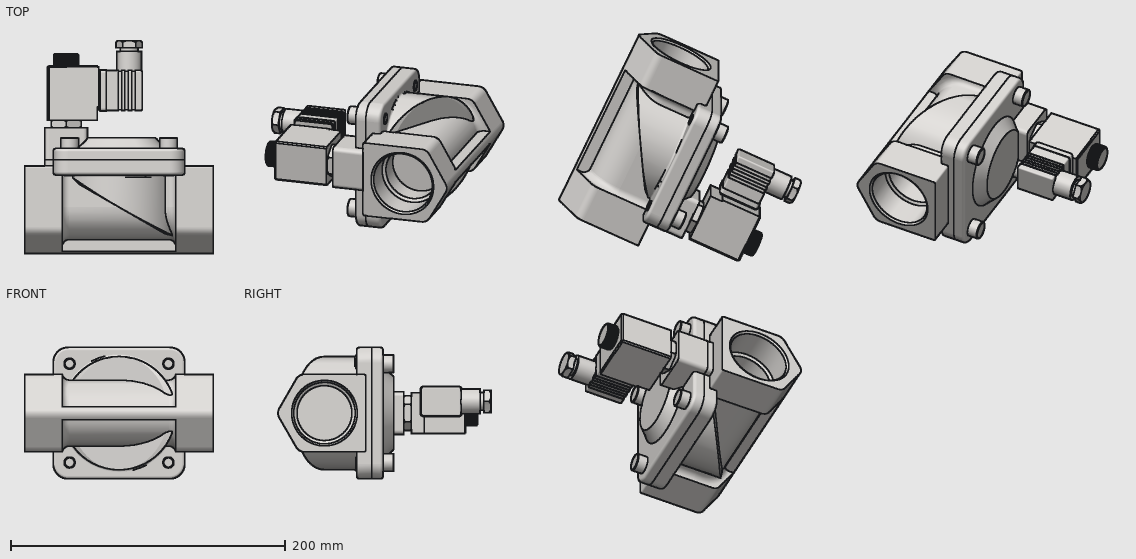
import cadquery as cq
import math


length = 137.5
flange_size = 96.0
solenoid_top_y = 121.39
body_bottom_y = solenoid_top_y - 155.29

port_length = 27.3
port_half_height = 28.3
port_top_y = 30.1
port_ridge_radius = 7.0
port_top_edge = 1.5
ridge_half_angle = math.radians(60)
ridge_apex_y = body_bottom_y - port_ridge_radius * (1 / math.sin(ridge_half_angle) - 1)
thread_diameter = 44.84
thread_depth = 22.0
thread_chamfer = 1.5
seat_cone_length = 1.4
seat_diameter = 40.0
seat_depth = 40.0

port_inner_x = length / 2 - port_length
channel_radius = 24.1
channel_fillet = 5.2
rib_half_width = 4.7

flange_bottom_y = 23.4
split_y = 34.6
flange_top_y = 42.8
flange_corner_radius = 11.0
flange_edge_radius = 2.2
screw_spacing = 72.0
screw_points = [(sx * screw_spacing / 2, sz * screw_spacing / 2) for sx in (-1, 1) for sz in (-1, 1)]
screw_tip_diameter = 8.0
screw_tip_height = 0.6
screw_head_diameter = 13.0
screw_head_top_y = 50.6
screw_head_edge = 0.5

bowl_radius = 41.3
bowl_root_fillet = 1.5
bowl_slope = math.radians(30)
bowl_lip_angle = math.radians(18)

dome_base_radius = 34.3
dome_top_radius = 26.5
dome_top_y = 50.6

pilot_x = -38.5
pilot_width = 31.3
pilot_top_y = 57.9
pilot_corner_radius = 3.2

nut_across_flats = 22.0
nut_edge = 0.7
coil_bottom_y = 63.3
coil_top_y = 103.1
coil_left_x = -52.1
coil_right_x = -15.7
coil_depth = 30.0
coil_edge = 1.1
pad_bottom_y = 72.8
pad_top_y = 102.3
pad_right_x = -14.7
knob_diameter = 18.3
knob_top_y = 111.7
knob_edge = 1.0
knob_teeth = 48
knob_tooth_depth = 0.4

plug_z = 8.5
plug_mid_y = 85.0
plug_width = 22.0
plug_plate_height = 30.2
plug_plate_right_x = -9.4
plug_plate_radius = 2.3
plug_plate_edge = 0.9
plug_height = 29.2
plug_case_width = 21.2
plug_right_x = 17.1
plug_edge_radius = 1.2
groove_first_x = -0.7
groove_pitch = 5.0
groove_width = 2.6
groove_depth = 0.5
groove_count = 3
gland_x = 7.4
gland_diameter = 18.3
gland_top_y = 113.5
neck_diameter = 13.2
neck_top_y = 116.1
gland_nut_ridges = 6
gland_nut_ridge_radius = 9.6
gland_nut_face_radius = 8.44
gland_nut_face_angle = 15.0
gland_nut_edge = 1.3


def plane_at(y):
    """XZ sketch plane at height y: local x is X, local y is Z, extrusion goes to +Y."""
    return cq.Workplane(cq.Plane(origin=(0, y, 0), xDir=(1, 0, 0), normal=(0, -1, 0)))


def rise(sketch, height):
    """Extrude a plane_at sketch towards +Y."""
    return sketch.extrude(-height)


def port_profile(start_x):
    """Pointed port outline in the YZ plane: flat top, two walls and a rounded ridge below."""
    shoulder_y = ridge_apex_y + port_half_height / math.tan(ridge_half_angle)
    plane = cq.Plane(origin=(start_x, 0, 0), xDir=(0, 1, 0), normal=(1, 0, 0))
    return cq.Workplane(plane).polyline([
        (port_top_y, port_half_height),
        (shoulder_y, port_half_height),
        (ridge_apex_y, 0),
        (shoulder_y, -port_half_height),
        (port_top_y, -port_half_height),
    ]).close()


def make_port(start_x, span):
    port = port_profile(start_x).extrude(span)
    port = port.edges("|X").edges("<Y").fillet(port_ridge_radius)
    shoulders = cq.selectors.BoxSelector((-length, -port_half_height, -length), (length, 0, length))
    port = port.edges("|X").edges(shoulders).edges(">Z or <Z").fillet(port_ridge_radius)
    return port.edges("|X").edges(">Y").fillet(port_top_edge)


def make_flange(bottom_y, top_y, outer_face):
    flange = rise(plane_at(bottom_y).rect(flange_size, flange_size), top_y - bottom_y)
    flange = flange.edges("|Y").fillet(flange_corner_radius)
    return flange.faces(outer_face).edges().fillet(flange_edge_radius)


def make_pilot(bottom_y, top_y):
    pilot = rise(plane_at(bottom_y).center(pilot_x, 0).rect(pilot_width, pilot_width), top_y - bottom_y)
    return pilot.edges("|Y").fillet(pilot_corner_radius)


def flare_section(plane):
    """Half of the channel in a plane through its axis, ending in concave rounds at both ports."""
    bend = channel_fillet * (1 - math.sqrt(0.5))
    round_x = port_inner_x - channel_fillet
    return (
        cq.Workplane(plane)
        .moveTo(-port_inner_x, 0)
        .lineTo(-port_inner_x, channel_radius + channel_fillet)
        .threePointArc((bend - port_inner_x, channel_radius + bend), (-round_x, channel_radius))
        .lineTo(round_x, channel_radius)
        .threePointArc((port_inner_x - bend, channel_radius + bend),
                       (port_inner_x, channel_radius + channel_fillet))
        .lineTo(port_inner_x, 0)
        .close()
    )


def make_channel():
    """U-shaped passage joining the ports, flaring out to the edges of each port face."""
    pipe = flare_section("XY").revolve(360, (0, 0, 0), (1, 0, 0))
    wall = flare_section("XZ").extrude(-flange_bottom_y)
    walls = wall.union(wall.mirror("XY"))
    return pipe.union(walls).intersect(make_port(-length / 2, length))


def make_rib():
    """Ridge of the ports carried along the underside of the channel."""
    strip = cq.Workplane("XY").box(length, -2 * ridge_apex_y, 2 * rib_half_width)
    strip = strip.translate((0, ridge_apex_y, 0))
    return make_port(-length / 2, length).intersect(strip)


def make_bowl():
    """Round bowl ending in a sloping disc that runs down towards +X, with a conical lip up to its wall."""
    drum = rise(plane_at(-bowl_radius).circle(bowl_radius), bowl_radius + split_y)
    height = 2 * bowl_radius
    lip_radius = bowl_radius + height / math.tan(bowl_lip_angle)
    slope_normal = cq.Vector(math.sin(bowl_slope), math.cos(bowl_slope), 0)
    lip = cq.Solid.makeCone(bowl_radius, lip_radius, height, cq.Vector(0, 0, 0), slope_normal)
    return drum.intersect(cq.Workplane(lip)).union(make_bowl_root())


def make_bowl_root():
    """Concave ring easing the bowl wall into the flange."""
    bend = bowl_root_fillet * (1 - math.sqrt(0.5))
    section = cq.Workplane("XY").moveTo(bowl_radius, flange_bottom_y - bowl_root_fillet)
    section = section.threePointArc((bowl_radius + bend, flange_bottom_y - bend),
                                    (bowl_radius + bowl_root_fillet, flange_bottom_y))
    section = section.lineTo(bowl_radius + bowl_root_fillet, split_y)
    section = section.lineTo(bowl_radius - bowl_root_fillet, split_y)
    section = section.lineTo(bowl_radius - bowl_root_fillet, flange_bottom_y - bowl_root_fillet)
    return section.close().revolve(360, (0, 0, 0), (0, 1, 0))


def cut_bore(body, end):
    """Chamfered thread bore and its narrower seat bore, sunk in one port; end is -1 or 1."""
    face_x = end * length / 2
    thread_radius = thread_diameter / 2
    mouth_radius = thread_radius + thread_chamfer
    seat_radius = seat_diameter / 2
    half_section = cq.Workplane("XY").polyline([
        (face_x, 0),
        (face_x, mouth_radius),
        (face_x - end * thread_chamfer, thread_radius),
        (face_x - end * thread_depth, thread_radius),
        (face_x - end * (thread_depth + seat_cone_length), seat_radius),
        (face_x - end * seat_depth, seat_radius),
        (face_x - end * seat_depth, 0),
    ]).close()
    return body.cut(half_section.revolve(360, (0, 0, 0), (1, 0, 0)))


def make_body():
    body = make_port(-length / 2, port_length).union(make_port(port_inner_x, port_length))
    body = body.union(make_channel())
    body = body.union(make_rib())
    body = body.union(make_bowl())
    body = body.union(make_flange(flange_bottom_y, split_y, "<Y"))
    body = body.union(make_pilot(port_top_y - port_top_edge, split_y))
    body = body.union(make_screw_tips())
    for end in (-1, 1):
        body = cut_bore(body, end)
    return body


def make_screw_tips():
    tips = rise(plane_at(flange_bottom_y - screw_tip_height).pushPoints(screw_points)
                .circle(screw_tip_diameter / 2), split_y - flange_bottom_y)
    return tips.faces("<Y").chamfer(screw_tip_height)


def make_cover():
    cover = make_flange(split_y, flange_top_y, ">Y")
    dome = cq.Workplane("XY").polyline([
        (0, split_y), (dome_base_radius, split_y), (dome_base_radius, flange_top_y),
        (dome_top_radius, dome_top_y), (0, dome_top_y),
    ]).close().revolve(360, (0, 0, 0), (0, 1, 0))
    heads = rise(plane_at(flange_top_y).pushPoints(screw_points)
                 .circle(screw_head_diameter / 2), screw_head_top_y - flange_top_y)
    heads = heads.faces(">Y").chamfer(screw_head_edge)
    return cover.union(dome).union(heads).union(make_pilot(split_y, pilot_top_y))


def make_knob():
    """Knurled coil nut."""
    outer = knob_diameter / 2
    inner = outer - knob_tooth_depth
    step = math.pi / knob_teeth
    points = []
    for i in range(2 * knob_teeth):
        radius = outer if i % 2 == 0 else inner
        points.append((pilot_x + radius * math.cos(i * step), radius * math.sin(i * step)))
    height = knob_top_y - coil_top_y
    knob = rise(plane_at(coil_top_y).polyline(points).close(), height)
    rounded = rise(plane_at(coil_top_y).center(pilot_x, 0).circle(outer), height).edges().chamfer(knob_edge)
    return knob.intersect(rounded)


def make_coil():
    nut_diameter = nut_across_flats / math.cos(math.pi / 6)
    nut_base = plane_at(pilot_top_y).center(pilot_x, 0)
    nut_height = coil_bottom_y - pilot_top_y
    nut = rise(nut_base.transformed(rotate=(0, 0, 90)).polygon(6, nut_diameter), nut_height)
    nut = nut.intersect(rise(nut_base.circle(nut_diameter / 2), nut_height).edges().chamfer(nut_edge))
    width = coil_right_x - coil_left_x
    height = coil_top_y - coil_bottom_y
    coil = cq.Workplane("XY").box(width, height, coil_depth)
    coil = coil.edges("(|Y and <X) or (>Y and (not >X))").chamfer(coil_edge)
    coil = coil.translate((coil_left_x + width / 2, coil_bottom_y + height / 2, 0))
    pad_height = pad_top_y - pad_bottom_y
    pad = cq.Workplane("XY").box(pad_right_x - pilot_x, pad_height, coil_depth)
    pad = pad.translate(((pad_right_x + pilot_x) / 2, pad_bottom_y + pad_height / 2, 0))
    return nut.union(coil).union(pad).union(make_knob())


def make_gland():
    """Cable gland on top of the plug."""
    gland = rise(plane_at(plug_mid_y).center(gland_x, plug_z).circle(gland_diameter / 2),
                 gland_top_y - plug_mid_y)
    neck = rise(plane_at(gland_top_y).center(gland_x, plug_z).circle(neck_diameter / 2),
                neck_top_y - gland_top_y)
    return gland.union(neck).union(make_gland_nut())


def make_gland_nut():
    """Grip nut with flats between pointed ridges."""
    pitch = 360 / gland_nut_ridges
    points = []
    for i in range(gland_nut_ridges):
        for turn, radius in (
            (0, gland_nut_ridge_radius),
            (gland_nut_face_angle, gland_nut_face_radius),
            (pitch - gland_nut_face_angle, gland_nut_face_radius),
        ):
            angle = math.radians(i * pitch + turn)
            points.append((radius * math.cos(angle), radius * math.sin(angle)))
    base = plane_at(neck_top_y).center(gland_x, plug_z)
    height = solenoid_top_y - neck_top_y
    nut = rise(base.polyline(points).close(), height)
    cap = rise(base.circle(gland_nut_ridge_radius), height).faces(">Y").chamfer(gland_nut_edge)
    return nut.intersect(cap)


def make_plug():
    plate_span = plug_plate_right_x - pad_right_x
    plate = cq.Workplane("XY").box(plate_span, plug_plate_height, plug_width)
    plate = plate.edges("|X").fillet(plug_plate_radius)
    plate = plate.faces("<X").chamfer(plug_plate_edge)
    plate = plate.translate((pad_right_x + plate_span / 2, plug_mid_y, plug_z))
    case_span = plug_right_x - plug_plate_right_x
    case = cq.Workplane("XY").box(case_span, plug_height, plug_case_width)
    case = case.edges("|X or >X").fillet(plug_edge_radius)
    case = case.translate((plug_plate_right_x + case_span / 2, plug_mid_y, plug_z))
    core_height = plug_height - 2 * groove_depth
    core_width = plug_case_width - 2 * groove_depth
    for i in range(groove_count):
        groove_x = groove_first_x + groove_width / 2 + i * groove_pitch
        ring = cq.Workplane("XY").box(groove_width, plug_height, plug_case_width)
        ring = ring.cut(cq.Workplane("XY").box(groove_width, core_height, core_width))
        case = case.cut(ring.translate((groove_x, plug_mid_y, plug_z)))
    return plate.union(case).union(make_gland())


body = make_body()
cover = make_cover()
solenoid = make_coil().union(make_plug())
result = cq.Compound.makeCompound([body.val(), cover.val(), solenoid.val()])